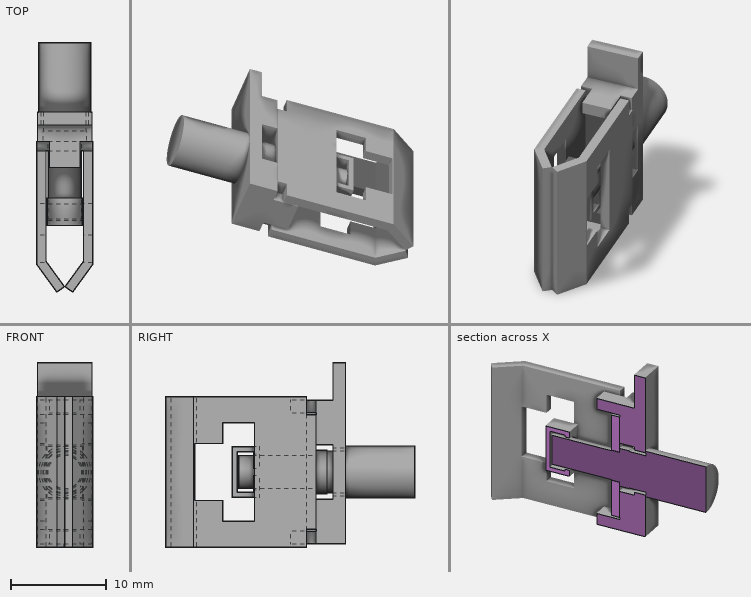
import cadquery as cq
import math


clip_width = 5.9
clip_height = 15.76
sheet = 1.0
jaw_angle = math.radians(36)
jaw_half_gap = 0.03
web_back_y = 15.76
web_front_y = web_back_y - sheet
web_height = 12.0
clip_inner_half = clip_width / 2 - sheet

window_back_y = 9.3
window_step_y = 6.0
window_front_y = 3.08
window_tall = 10.28
window_short = 5.95

bracket_width = 5.75
plate_back_y = 18.85
plate_front_y = 17.51
bracket_bottom_z = -7.52
bracket_step_z = -bracket_bottom_z
plate_top_z = 11.45
slot_height = 5.7
neck_hole_diameter = 4.99
stem_width = 3.24
stem_thickness = 1.33
stem_front_y = 13.05

knob_end_y = 26.1
knob_diameter = 5.48
neck_diameter = 4.4
collar_diameter = 4.57
collar_back_y = 16.89
shank_diameter = 3.5
screw_end_y = 7.65

cage_width = 3.7
cage_height = 5.32
cage_wall = 0.55
cage_back_y = 9.85
cage_front_y = 6.97
cage_back_wall = 0.63
cage_hole_diameter = 3.78


def block(width, front_y, back_y, bottom_z, top_z):
    """Box centred on X = 0 between the given Y and Z limits."""
    return (
        cq.Workplane("XY")
        .box(width, back_y - front_y, top_z - bottom_z, centered=(True, False, False))
        .translate((0, front_y, bottom_z))
    )


def centred_block(width, front_y, back_y, height):
    """Box centred on the screw axis."""
    return block(width, front_y, back_y, -height / 2, height / 2)


def rod(diameter, front_y, back_y):
    """Cylinder on the screw axis."""
    return cq.Workplane("XZ", origin=(0, back_y, 0)).circle(diameter / 2).extrude(back_y - front_y)


def make_arm():
    """Arm on the +X side with its jaw bent toward the centre."""
    inner_tip_y = sheet * math.sin(jaw_angle)
    outer_tip_x = jaw_half_gap + sheet * math.cos(jaw_angle)
    inner_bend_y = inner_tip_y + (clip_inner_half - jaw_half_gap) / math.tan(jaw_angle)
    outer_bend_y = inner_bend_y - sheet * math.tan(jaw_angle / 2)
    outline = [
        (clip_inner_half, web_front_y),
        (clip_inner_half, inner_bend_y),
        (jaw_half_gap, inner_tip_y),
        (outer_tip_x, 0),
        (clip_width / 2, outer_bend_y),
        (clip_width / 2, web_front_y),
    ]
    return (
        cq.Workplane("XY", origin=(0, 0, -clip_height / 2))
        .polyline(outline)
        .close()
        .extrude(clip_height)
    )


def make_clip():
    arm = make_arm()
    web = centred_block(clip_width, web_front_y, web_back_y, web_height)
    window = centred_block(clip_width, window_step_y, window_back_y, window_tall).union(
        centred_block(clip_width, window_front_y, window_step_y, window_short)
    )
    screw_hole = rod(shank_diameter, web_front_y, web_back_y)
    return web.union(arm).union(arm.mirror("YZ")).cut(window).cut(screw_hole)


def make_bracket():
    plate = block(bracket_width, plate_front_y, plate_back_y, bracket_bottom_z, plate_top_z)
    body = block(bracket_width, web_back_y, plate_front_y, bracket_bottom_z, bracket_step_z)
    bracket = plate.union(body)
    for bottom_z in (bracket_bottom_z, bracket_step_z - stem_thickness):
        stem = block(stem_width, stem_front_y, web_back_y, bottom_z, bottom_z + stem_thickness)
        bracket = bracket.union(stem)
    slot = centred_block(bracket_width, web_back_y, plate_front_y, slot_height)
    neck_hole = rod(neck_hole_diameter, plate_front_y, plate_back_y)
    return bracket.cut(slot).cut(neck_hole)


def make_screw():
    knob = rod(knob_diameter, plate_back_y, knob_end_y)
    neck = rod(neck_diameter, collar_back_y, plate_back_y)
    collar = rod(collar_diameter, web_back_y, collar_back_y)
    shank = rod(shank_diameter, screw_end_y, web_back_y)
    return knob.union(neck).union(collar).union(shank)


def make_cage():
    outer = centred_block(cage_width, cage_front_y, cage_back_y, cage_height)
    opening = centred_block(
        cage_width,
        cage_front_y + cage_wall,
        cage_back_y - cage_back_wall,
        cage_height - 2 * cage_wall,
    )
    screw_hole = rod(cage_hole_diameter, cage_back_y - cage_back_wall, cage_back_y)
    return outer.cut(opening).cut(screw_hole)


clip = make_clip()
bracket = make_bracket()
screw = make_screw()
cage = make_cage()

result = cq.Compound.makeCompound([clip.val(), bracket.val(), screw.val(), cage.val()])